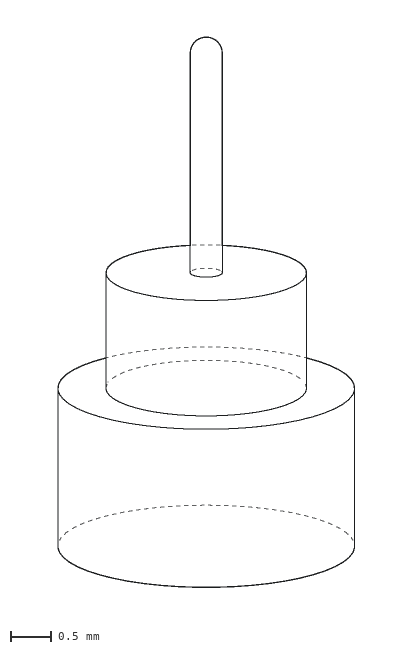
import cadquery as cq

total_height = 6.6
base_diameter = 3.7
base_height = 2.05
collar_diameter = 2.5
collar_height = 1.5
pin_diameter = 0.4

pin_radius = pin_diameter / 2
collar_top = base_height + collar_height
tip_start = total_height - pin_radius


def cylinder(diameter, bottom, top):
    """Upright cylinder on the Z axis between two heights."""
    return cq.Workplane("XY").workplane(offset=bottom).circle(diameter / 2).extrude(top - bottom)


base = cylinder(base_diameter, 0, base_height)
collar = cylinder(collar_diameter, base_height, collar_top)

pin = cylinder(pin_diameter, collar_top, tip_start)
tip = cq.Workplane("XY").sphere(pin_radius).translate((0, 0, tip_start))

result = base.union(collar).union(pin).union(tip)